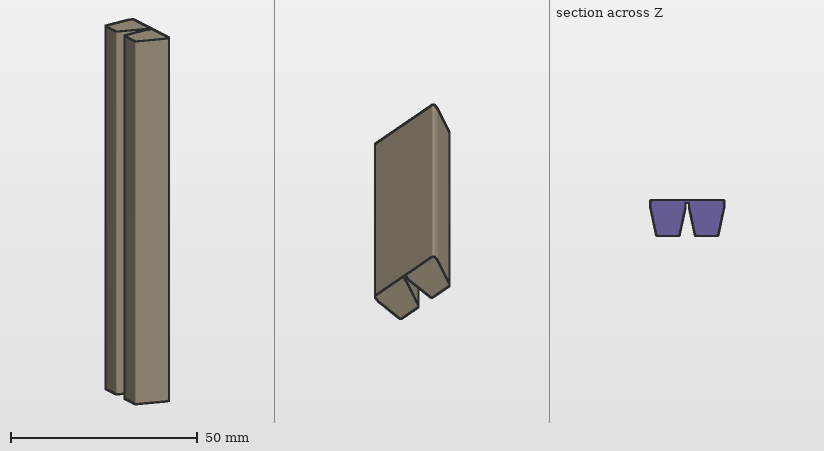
import cadquery as cq

length = 101.6
width = 19.9
depth = 9.7

slot_width = 0.8
rail_width = (width - slot_width) / 2
front_width = 6.2
straight_depth = 1.8
corner_radius = 0.5

web_thickness = 0.8

half_depth = depth / 2
rail_offset = (rail_width + slot_width) / 2


def make_rail(center_x, outer_side):
    """Prism that narrows toward -Y, rounded in front and at its outer back corner."""
    half_back = rail_width / 2
    half_front = front_width / 2
    taper_start = half_depth - straight_depth
    outline = [
        (-half_back, half_depth),
        (half_back, half_depth),
        (half_back, taper_start),
        (half_front, -half_depth),
        (-half_front, -half_depth),
        (-half_back, taper_start),
    ]
    rail = cq.Workplane("XY").polyline(outline).close().extrude(length)
    rail = rail.faces("<Y").edges("|Z").fillet(corner_radius)
    rail = rail.faces(">Y").edges(outer_side).fillet(corner_radius)
    return rail.translate((center_x, 0, -length / 2))


left_rail = make_rail(-rail_offset, "<X")
right_rail = make_rail(rail_offset, ">X")

web = cq.Workplane("XY").box(slot_width, web_thickness, length)
web = web.translate((0, half_depth - web_thickness / 2, 0))

result = left_rail.union(web).union(right_rail).clean()